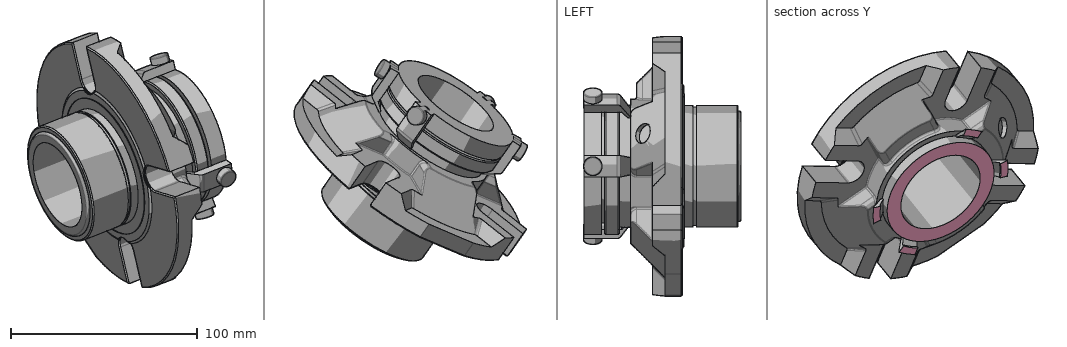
import cadquery as cq
import math


bore_radius = 48.0 / 2
sleeve_radius = 65.4 / 2
sleeve_front = -30.0
sleeve_edge = 0.7
nose_radius = 29.7
nose_length = 1.5
nose_round = 1.3
groove_radius = 63.6 / 2
groove_front = -7.5
groove_width = 1.8

collar_radius = 73.3 / 2
neck_radius = 61.0 / 2
front_ring_start = 33.7
front_ring_end = 41.7
back_ring_start = 43.2
collar_end = 52.7
ring_edge = 0.7

clip_angles = (0, 120, 180, 300)
clip_outer_radius = 41.8
clip_span = 16.1
clip_bend = 33.7
clip_bend_round = 2.5
clip_inner_drop = 1.3
clip_toe_radius = 33.5
clip_toe_height = 1.1
screw_radius = 10.0 / 2
screw_top = 45.7
screw_edge = 0.4
screw_position = 48.0

flange_radius = 69.7
flange_thickness = 16.0
flange_edge = 0.7
quarter_turns = (0, 90, 180, 270)
first_slot_angle = 23.4
slot_angles = [first_slot_angle + turn for turn in quarter_turns]
slot_width = 14.4
slot_bottom = 41.0
flat_distance = 68.0

pilot_radius = 44.3
pilot_height = 0.8
pilot_slope = 1.4
inner_ring_radius = 77.2 / 2
inner_ring_height = 1.3

hub_radius = 36.0
hub_end = 27.7
cone_sum = 69.0
lobe_half_width = 17.8
lobe_start = 4.2
lobe_round = 3.3
lobe_edge_round = 0.7
lobe_corner_round = 1.3
hub_root_round = 0.5
low_lobe_angle = first_slot_angle + 45
low_lobe_end = 24.5
full_lobe_angles = [low_lobe_angle + turn for turn in quarter_turns[1:]]
flat_angle = full_lobe_angles[1]

pocket_floor = 9.3
pocket_apex = 33.7
pocket_wall_angle = 45
pocket_corner_round = 2.8

port_angle = full_lobe_angles[0]
port_radius = 11.0 / 2
port_position = 21.0
port_depth = 2.8

overrun = 7.0
tolerance = 0.01


def turned(points):
    """Revolve a closed outline of (radius, Y) points about the shaft axis."""
    return cq.Workplane("XY").polyline(points).close().revolve(360, (0, 0, 0), (0, 1, 0))


def disc(radius, start, end):
    """Solid cylinder on the shaft axis between two Y positions."""
    return turned([(0, start), (radius, start), (radius, end), (0, end)])


def place(shape, angle):
    """Turn a shape built along +X to an angle about the shaft axis."""
    return shape.rotate((0, 0, 0), (0, -1, 0), angle)


def distance_from_axis(edge):
    centre = edge.Center()
    return math.hypot(centre.x, centre.z)


def plan(start):
    """Work plane square to the shaft; its axes are sideways (Z) and outward (X)."""
    return cq.Workplane("ZX", origin=(0, start, 0))


def sleeve():
    body = disc(sleeve_radius, sleeve_front, front_ring_start).faces("<Y").chamfer(sleeve_edge)
    nose = disc(nose_radius, sleeve_front - nose_length, 0).faces("<Y").edges().fillet(nose_round)
    groove_back = groove_front + groove_width
    groove = disc(sleeve_radius + overrun, groove_front, groove_back)
    groove = groove.cut(disc(groove_radius, groove_front, groove_back))
    return body.cut(groove).union(nose)


def collar():
    neck = disc(neck_radius, front_ring_start, collar_end)
    front_ring = disc(collar_radius, front_ring_start, front_ring_end).edges().chamfer(ring_edge)
    back_ring = disc(collar_radius, back_ring_start, collar_end)
    return neck.union(front_ring).union(back_ring)


def clip():
    """Bent strap that hooks over the collar, with its screw head."""
    outline = [
        (collar_radius, collar_end),
        (clip_outer_radius, collar_end),
        (clip_outer_radius, clip_bend),
        (clip_toe_radius, hub_end),
        (sleeve_radius, hub_end),
        (sleeve_radius, hub_end + clip_toe_height),
        (collar_radius, clip_bend - clip_inner_drop),
    ]
    strap = cq.Workplane("XY").polyline(outline).close().revolve(clip_span, (0, 0, 0), (0, 1, 0))
    strap = place(strap, clip_span / 2)
    bend_point = (clip_outer_radius, clip_bend, 0)
    strap = strap.edges(cq.selectors.NearestToPointSelector(bend_point)).fillet(clip_bend_round)
    screw_base = cq.Workplane("YZ", origin=(collar_radius, screw_position, 0))
    screw = screw_base.circle(screw_radius).extrude(screw_top - collar_radius)
    screw = screw.faces(">X").edges().fillet(screw_edge)
    return strap.union(screw)


def slot():
    """Round-ended slot that runs out through the rim."""
    length = flange_radius + overrun - slot_bottom
    depth = flange_thickness + 2 * overrun
    outline = plan(-overrun).center(0, slot_bottom + length).slot2D(2 * length, slot_width, 90)
    return outline.extrude(depth)


def cut_slots(body):
    for angle in slot_angles:
        body = body.cut(place(slot(), angle))
    return body


def cone():
    """Solid 45 degree cone that limits the lobes and the pockets."""
    return turned([(0, 0), (cone_sum, 0), (cone_sum - hub_end, hub_end), (0, hub_end)])


def pocket():
    """Wedge outside the cone, opening towards the rim and towards the back of the flange."""
    reach = flange_radius + 2 * overrun
    half_width = reach - pocket_apex
    corners = [(0, pocket_apex), (half_width, reach), (-half_width, reach)]
    depth = flange_thickness - pocket_floor
    wedge = plan(pocket_floor).polyline(corners).close().extrude(depth, taper=-pocket_wall_angle)
    return wedge.cut(cone()).edges("%PARABOLA").fillet(pocket_corner_round)


def flange():
    plate = disc(flange_radius, 0, flange_thickness)
    width = 2 * flange_radius
    beyond_flat = plan(0).center(0, flat_distance + flange_radius).rect(width, width)
    beyond_flat = beyond_flat.extrude(flange_thickness)
    plate = plate.cut(place(beyond_flat, flat_angle))
    plate = cut_slots(plate).faces("<Y").edges().chamfer(flange_edge)
    for angle in [low_lobe_angle, *full_lobe_angles]:
        plate = plate.cut(place(pocket(), angle))
    pilot = turned([
        (0, -pilot_height),
        (pilot_radius - pilot_slope, -pilot_height),
        (pilot_radius, 0),
        (0, 0),
    ])
    return plate.union(cut_slots(pilot)).union(disc(inner_ring_radius, -inner_ring_height, 0))


def lobe(end):
    """Straight-sided lobe along +X, cut off outside by the cone."""
    block = (
        plan(lobe_start)
        .center(0, flange_radius / 2)
        .rect(2 * lobe_half_width, flange_radius)
        .extrude(end - lobe_start)
        .edges("|X and >Y")
        .fillet(lobe_round)
    )
    return block.intersect(cone()).faces("%CONE").edges().fillet(lobe_edge_round)


def hub():
    body = disc(hub_radius, 0, hub_end).union(place(lobe(low_lobe_end), low_lobe_angle))
    for angle in full_lobe_angles:
        body = body.union(place(lobe(hub_end), angle))
    corners = [
        edge for edge in body.edges("|Y").vals()
        if abs(distance_from_axis(edge) - hub_radius) < tolerance and edge.Length() > 2 * lobe_start
    ]
    return body.newObject(corners).fillet(lobe_corner_round)


def is_hub_root(edge):
    """True for the edges where the hub and the lobe sides rise from the back of the flange."""
    bounds = edge.BoundingBox()
    on_back = bounds.ylen < tolerance and abs(bounds.ymin - flange_thickness) < tolerance
    reach = distance_from_axis(edge)
    is_lobe_side = edge.geomType() == "LINE" and reach < cone_sum - flange_thickness
    is_hub_arc = reach < hub_radius + lobe_corner_round
    return on_back and (is_lobe_side or is_hub_arc)


def housing():
    """Flange and hub, blended where they meet."""
    body = flange().union(hub())
    roots = [edge for edge in body.edges().vals() if is_hub_root(edge)]
    return body.newObject(roots).fillet(hub_root_round)


def port():
    centre = cq.Vector(cone_sum - port_position, port_position, 0)
    surface = cq.Plane(origin=centre, xDir=(0, 0, 1), normal=(1, 1, 0))
    return cq.Workplane(surface).circle(port_radius).extrude(port_depth, both=True)


result = sleeve().union(collar()).union(housing())
for clip_angle in clip_angles:
    result = result.union(place(clip(), clip_angle))
result = result.cut(place(port(), port_angle))
result = result.cut(disc(bore_radius, sleeve_front - overrun, collar_end + overrun))